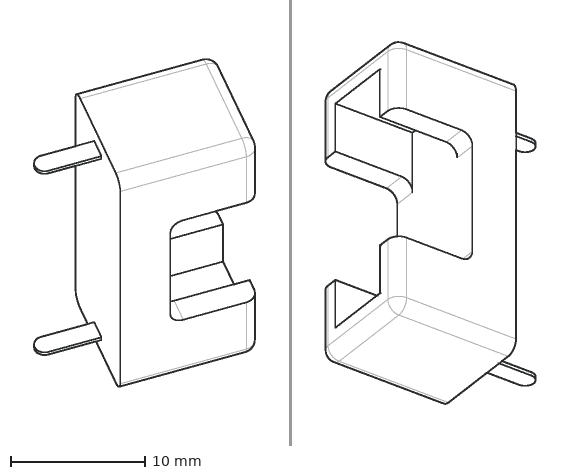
import cadquery as cq

width = 9.8
depth = 11.0
height = 24.0
edge_radius = 1.0

jaw_height = 6.3
notch_depth = 7.0
notch_height = height - 2 * jaw_height
base_depth = depth - notch_depth

side_wall = 2.0
end_wall = 2.06
channel_width = width - 2 * side_wall
channel_height = height - 2 * end_wall

pin_length = 5.02
pin_width = 1.58
pin_thickness = 0.3
pin_spacing = 20.7


def block_from_y(start_y, size_x, size_y, size_z):
    """Box centred on X and Z that extends from start_y toward +Y."""
    return (
        cq.Workplane("XY")
        .box(size_x, size_y, size_z, centered=(True, False, True))
        .translate((0, start_y, 0))
    )


def make_housing():
    """Block rounded everywhere except around its flat base face."""
    return block_from_y(0, width, depth, height).edges("|Y or >Y").fillet(edge_radius)


def make_notch():
    """Cutter across the full width with rounded inner corners."""
    notch = block_from_y(base_depth, width, notch_depth, notch_height)
    return notch.edges("|X and <Y").fillet(edge_radius)


def make_channel():
    """Cutter that hollows the jaws and leaves side and end walls."""
    return block_from_y(base_depth, channel_width, notch_depth, channel_height)


def make_pin(center_z):
    """Flat pin pointing to -Y, ending in a full half round."""
    half_width = pin_width / 2
    shoulder_y = half_width - pin_length
    return (
        cq.Workplane("XY")
        .workplane(offset=center_z - pin_thickness / 2)
        .moveTo(-half_width, 0)
        .lineTo(-half_width, shoulder_y)
        .threePointArc((0, -pin_length), (half_width, shoulder_y))
        .lineTo(half_width, 0)
        .close()
        .extrude(pin_thickness)
    )


result = make_housing().cut(make_notch()).cut(make_channel())
for side in (-1, 1):
    result = result.union(make_pin(side * pin_spacing / 2))